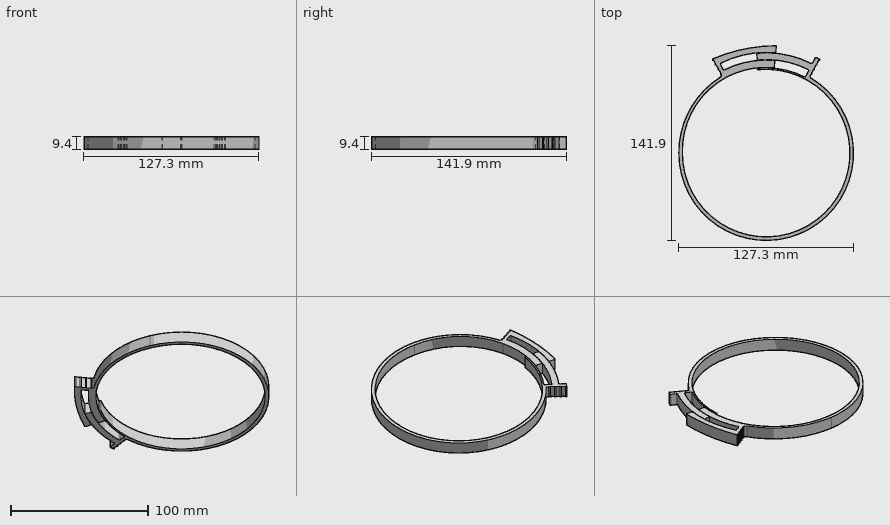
import cadquery as cq
import math

height = 9.4

hoop_inner = 60.9
hoop_diameter = 127.3
hoop_outer = hoop_diameter / 2

gap = 0.1
lip_outer = 62.1
left_inner = lip_outer + gap
right_inner = 68.0
left_step = right_inner - gap
right_outer = 73.1
left_upper_inner = right_outer + gap

upper_tip_radius = 78.6
upper_middle_radius = 77.5
upper_root_radius = 78.9

quarter_middle_inner = 61.7
quarter_middle_outer = 64.0
quarter_end_outer = 64.7

half_turn = 180
full_turn = 360
mid_angle = 90
overlap = 5.5
lip_overlap = 6.1
tip_angle_left = mid_angle - overlap
tip_angle_right = mid_angle + overlap
lip_angle = mid_angle + lip_overlap
grip_angle = 60.4
web_angle = 62.8
left_grip_angle = half_turn - grip_angle
left_web_angle = half_turn - web_angle
stub_outer = 78.6

ridge_radius = 0.5
ridge_count = 4
ridge_first = 66.3
ridge_pitch = 4.0

left_notch_fillet = 2.1
right_notch_fillet = 1.5
corner_fillet = 0.7


def polar(radius, angle):
    turn = math.radians(angle)
    return (radius * math.cos(turn), radius * math.sin(turn))


def band(inner, outer, start, end):
    """Curved bar from start to end; inner and outer list the radii at its start, middle and end."""
    middle = (start + end) / 2
    return (
        cq.Workplane("XY")
        .moveTo(*polar(inner[0], start))
        .threePointArc(polar(inner[1], middle), polar(inner[2], end))
        .lineTo(*polar(outer[2], end))
        .threePointArc(polar(outer[1], middle), polar(outer[0], start))
        .close()
        .extrude(height)
    )


def round_band(inner, outer, start, end):
    """Curved bar of constant thickness, concentric with the hoop."""
    return band([inner] * 3, [outer] * 3, start, end)


def ridges(angle):
    """Row of half-round ridges up a grip face."""
    places = [polar(ridge_first + i * ridge_pitch, angle) for i in range(ridge_count)]
    return cq.Workplane("XY").pushPoints(places).circle(ridge_radius).extrude(height)


def round_edges(body, size, corners):
    """Fillet the upright edges nearest to the given (radius, angle) corners."""
    for radius, angle in corners:
        x, y = polar(radius, angle)
        edge = cq.NearestToPointSelector((x, y, height / 2))
        body = body.edges("|Z").edges(edge).fillet(size)
    return body


def left_jaw():
    quarter = band(
        [left_inner, quarter_middle_inner, hoop_inner],
        [quarter_end_outer, quarter_middle_outer, hoop_outer],
        left_web_angle,
        half_turn,
    )
    lower_tongue = round_band(left_inner, left_step, tip_angle_left, left_web_angle)
    upper_tongue = band(
        [left_upper_inner] * 3,
        [upper_tip_radius, upper_middle_radius, upper_root_radius],
        tip_angle_left,
        left_grip_angle,
    )
    web = round_band(hoop_outer, upper_middle_radius, left_web_angle, left_grip_angle)
    jaw = quarter.union(lower_tongue).union(upper_tongue).union(web)
    jaw = round_edges(jaw, left_notch_fillet, [(quarter_end_outer, left_grip_angle)])
    inside_corners = [(left_step, left_web_angle), (left_upper_inner, left_web_angle)]
    tip_corners = [(left_inner, tip_angle_left), (upper_tip_radius, tip_angle_left)]
    jaw = round_edges(jaw, corner_fillet, inside_corners + tip_corners)
    return jaw.union(ridges(left_grip_angle))


def right_jaw():
    hoop = round_band(hoop_inner, hoop_outer, half_turn - full_turn, lip_angle)
    lip_relief = round_band(lip_outer, right_inner, web_angle, lip_angle + lip_overlap)
    tongue = round_band(right_inner, right_outer, web_angle, tip_angle_right)
    stub = round_band(lip_outer, stub_outer, grip_angle, web_angle)
    jaw = hoop.cut(lip_relief).union(tongue).union(stub)
    jaw = round_edges(jaw, right_notch_fillet, [(hoop_outer, grip_angle)])
    inside_corners = [(lip_outer, web_angle), (right_inner, web_angle), (right_outer, web_angle)]
    stub_corners = [(stub_outer, grip_angle), (stub_outer, web_angle)]
    tongue_corner = [(right_inner, tip_angle_right)]
    lip_corner = [(hoop_inner, lip_angle)]
    jaw = round_edges(jaw, corner_fillet, inside_corners + stub_corners + tongue_corner + lip_corner)
    return jaw.union(ridges(grip_angle))


result = left_jaw().union(right_jaw())